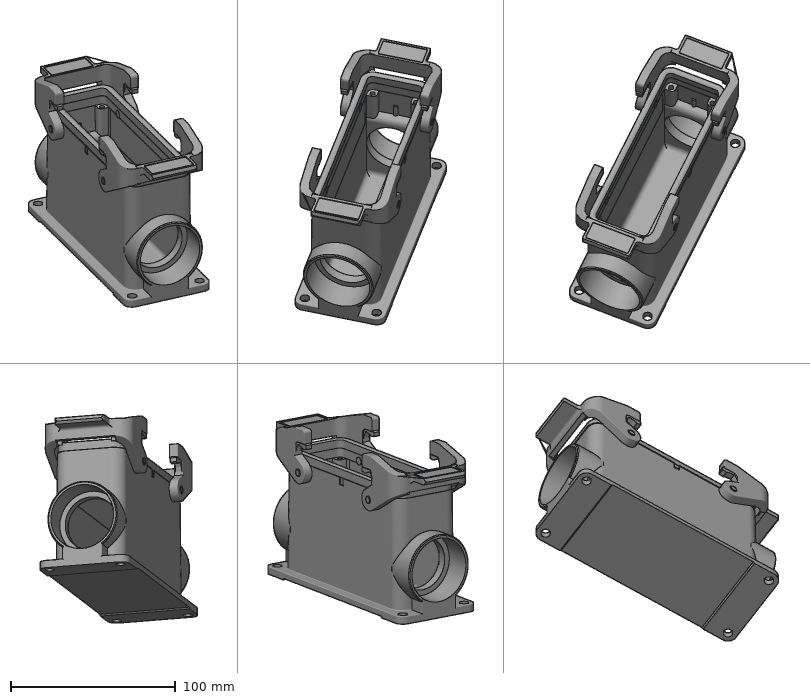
import cadquery as cq
import math

plate_length = 143.9
plate_width = 57.0
plate_thickness = 4.7
plate_corner_radius = 5.7
plate_edge_radius = 0.5
mount_hole_diameter = 5.7
mount_hole_x = 66.1
mount_hole_y = 22.7
relief_height = 1.0
relief_top_length = 102.0
relief_bottom_length = 103.9

foot_length = 122.5
foot_width = 44.4
shoulder_length = 120.5
shoulder_width = 43.6
shell_corner_radius = 7.9
foot_radius = 0.5
shoulder_z = 75.2

rim_top_z = 81.0
rim_inset = 0.5
rim_thickness = 4.1
rim_crown_height = 0.6
rim_length = shoulder_length - 2 * rim_inset
rim_width = shoulder_width - 2 * rim_inset
rim_corner_radius = shell_corner_radius - rim_inset

mouth_length = rim_length - 2 * rim_thickness
mouth_width = rim_width - 2 * rim_thickness
mouth_corner_radius = rim_corner_radius - rim_thickness
cavity_step = 0.2
straight_bottom_z = 69.5
floor_z = 4.7
floor_length = 110.2
floor_width = 32.7
floor_radius = 3.0
wall_recess_length = 93.2
wall_recess_bottom_z = 48.5

pad_foot_x = 48.3
pad_face_x = 48.8
pad_top_z = 52.3
pad_top_radius = 3.8
post_inner_x = 49.6
post_inner_y = 10.7
post_corner_radius = 2.4
post_hole_diameter = 3.0
post_hole_x = 52.1
post_hole_y = 13.7
post_hole_depth = 9.5
drill_point_angle = math.radians(118)
rib_diameter = 3.0
rib_top_z = 59.8

entry_z = 30.2
entry_outer_diameter = 44.2
entry_bore_diameter = 40.0
entry_throat_diameter = 33.0
entry_root_x = 53.5
entry_bore_end_x = 54.5
entry_edge_chamfer = 0.6
web_width = 25.2
web_corner_radius = 0.5

notch_width = 3.6
notch_bottom_z = 70.7
notch_depth = 0.6

pivot_x = -37.0
pivot_z = 71.0
lever_width = 55.9
arm_thickness = 5.5
end_thickness = 3.3
end_bottom_z = 80.9
lever_end_x = -66.3
lever_corner_radius = 9.1
lever_inner_radius = 6.8
arm_angle = math.radians(31)
arm_eye_radius = 7.0
lever_top_z = 98.8
lever_slope_start_x = -64.8
lever_slope_end_x = -39.8
hook_tip_x = -30.4
hook_under_z = 90.0
slot_back_x = -40.5
slot_corner_radius = 2.8
hook_corner_radius = 2.0
lever_top_radius = 3.1
lever_edge_radius = 0.3

lining_inset = 0.8
lining_root = 0.5
lining_foot_z = 83.5
lip_tip_x = -29.6
lip_upper_z = 89.5
lip_lower_z = 87.0
lip_lowest_point = (-32.5, 86.5)
lip_back_point = (-34.8, 87.7)
lining_crown_point = (-38.1, 88.3)
lining_corner_point = (-39.7, 86.0)

tab_tip_x = -78.7
tab_top_z = 91.6
tab_bottom_z = 87.7
tab_nose_z = 89.4
tab_bevel = 1.0
tab_width = 31.2
tab_root_radius = 1.7
tab_corner_radius = 1.9
panel_outer_x = -76.3
panel_inner_x = -64.8
panel_width = 28.0
panel_depth = 0.5
panel_corner_radius = 0.8

pin_diameter = 4.7
pin_head_height = 0.5
pin_head_chamfer = 0.4
pivot_boss_diameter = 7.0

pin_inner_y = mouth_width / 2 - cavity_step
arm_inner_y = lever_width / 2 - arm_thickness


def rounded_block(length, width, radius, bottom_z, top_z):
    """Upright block with rounded vertical edges."""
    block = cq.Workplane("XY", origin=(0, 0, bottom_z)).rect(length, width).extrude(top_z - bottom_z)
    return block.edges("|Z").fillet(radius)


def drafted_prism(plane, bottom_size, top_size, bottom_z, top_z, depth):
    """Trapezoid on an upright plane, extruded by the depth to both sides."""
    return (
        cq.Workplane(plane)
        .polyline([
            (-bottom_size / 2, bottom_z),
            (bottom_size / 2, bottom_z),
            (top_size / 2, top_z),
            (-top_size / 2, top_z),
        ])
        .close()
        .extrude(depth, both=True)
    )


def drafted_block(bottom, top, radius, bottom_z, top_z):
    """Upright block with rounded corners that tapers from bottom to top (length, width)."""
    lengthwise = drafted_prism("XZ", bottom[0], top[0], bottom_z, top_z, max(bottom[1], top[1]))
    crosswise = drafted_prism("YZ", bottom[1], top[1], bottom_z, top_z, max(bottom[0], top[0]))
    block = lengthwise.intersect(crosswise)
    return block.edges("not(#Z)").fillet(radius)


def box_between(x_range, y_range, z_range):
    """Box given by its two limits along each axis."""
    sizes = [high - low for low, high in (x_range, y_range, z_range)]
    corner = (x_range[0], y_range[0], z_range[0])
    return cq.Workplane("XY").box(*sizes, centered=False).translate(corner)


def cylinder_x(diameter, start_x, end_x):
    """Cylinder on a cable entry axis."""
    plane = cq.Workplane("YZ", origin=(start_x, 0, entry_z))
    return plane.circle(diameter / 2).extrude(end_x - start_x)


def cylinder_y(diameter, x, start_y, end_y):
    """Cylinder on a pivot axis, at the pivot height."""
    plane = cq.Workplane("XZ", origin=(x, start_y, pivot_z))
    return plane.circle(diameter / 2).extrude(start_y - end_y)


def base_plate():
    plate = rounded_block(plate_length, plate_width, plate_corner_radius, 0, plate_thickness)
    plate = plate.faces(">Z").edges().fillet(plate_edge_radius)
    relief = (
        cq.Workplane("XZ")
        .polyline([
            (-relief_bottom_length / 2, 0),
            (-relief_top_length / 2, relief_height),
            (relief_top_length / 2, relief_height),
            (relief_bottom_length / 2, 0),
        ])
        .close()
        .extrude(plate_width, both=True)
    )
    return plate.cut(relief)


def rim():
    """Band around the mouth of the housing, its top a shallow arch."""
    centre_length = rim_length - rim_thickness
    centre_width = rim_width - rim_thickness
    bend = rim_corner_radius - rim_thickness / 2
    edge_z = rim_top_z - rim_crown_height
    path = rounded_block(centre_length, centre_width, bend, shoulder_z - 1.5, shoulder_z).faces(">Z").wires()
    section = (
        cq.Workplane("YZ", origin=(0, -centre_width / 2, 0))
        .moveTo(-rim_thickness / 2, shoulder_z)
        .lineTo(-rim_thickness / 2, edge_z)
        .threePointArc((0, rim_top_z), (rim_thickness / 2, edge_z))
        .lineTo(rim_thickness / 2, shoulder_z)
        .close()
    )
    return section.sweep(path)


def cable_entry(side):
    """Tube and the web that carries it, on the plate's end."""
    tube = cylinder_x(entry_outer_diameter, side * plate_length / 2, side * entry_root_x)
    end_face = "<X" if side < 0 else ">X"
    tube = tube.faces(end_face).edges().chamfer(entry_edge_chamfer)
    web_range = sorted((side * entry_root_x, side * plate_length / 2))
    web = box_between(web_range, (-web_width / 2, web_width / 2), (relief_height, entry_z))
    web = web.faces(end_face).edges("|Z").fillet(web_corner_radius)
    return tube.union(web)


def end_pad(side):
    """Thick lower part of an end wall, with a rounded top edge."""
    pad = (
        cq.Workplane("XZ")
        .polyline([
            (side * shoulder_length / 2, floor_z),
            (side * pad_foot_x, floor_z),
            (side * pad_face_x, pad_top_z),
            (side * shoulder_length / 2, pad_top_z),
        ])
        .close()
        .extrude(mouth_width, both=True)
    )
    inner_edge = cq.selectors.NearestToPointSelector((side * pad_face_x, 0, pad_top_z))
    return pad.edges("|Y").edges(inner_edge).fillet(pad_top_radius)


def screw_post(side_x, side_y):
    x_range = sorted((side_x * post_inner_x, side_x * shoulder_length / 2))
    y_range = sorted((side_y * post_inner_y, side_y * shoulder_width / 2))
    post = box_between(x_range, y_range, (floor_z, straight_bottom_z))
    inner_edge = cq.selectors.NearestToPointSelector(
        (side_x * post_inner_x, side_y * post_inner_y, straight_bottom_z / 2)
    )
    post = post.edges("|Z").edges(inner_edge).fillet(post_corner_radius)
    hole_radius = post_hole_diameter / 2
    tip_length = hole_radius / math.tan(drill_point_angle / 2)
    hole = (
        cq.Workplane("XZ")
        .polyline([
            (0, 0),
            (hole_radius, 0),
            (hole_radius, -post_hole_depth),
            (0, -post_hole_depth - tip_length),
        ])
        .close()
        .revolve(360, (0, 0, 0), (0, 1, 0))
        .translate((side_x * post_hole_x, side_y * post_hole_y, straight_bottom_z))
    )
    return post.cut(hole)


def end_rib(side):
    """Half-round rib standing on an end pad against the end wall."""
    rib = cq.Workplane("XY", origin=(side * mouth_length / 2, 0, floor_z))
    return rib.circle(rib_diameter / 2).extrude(rib_top_z - floor_z)


def cavity():
    """Hollow that widens by a small step at the post tops and again at the rim."""
    straight_size = (mouth_length - 2 * cavity_step, mouth_width - 2 * cavity_step)
    lower_size = (straight_size[0] - 2 * cavity_step, straight_size[1] - 2 * cavity_step)
    hollow = drafted_block(
        (floor_length, floor_width), lower_size, mouth_corner_radius, floor_z, straight_bottom_z
    )
    for side in (-1, 1):
        hollow = hollow.cut(end_pad(side))
    hollow = hollow.faces("<Z").edges().fillet(floor_radius)
    wall_recess = box_between(
        (-wall_recess_length / 2, wall_recess_length / 2),
        (-lower_size[1] / 2, lower_size[1] / 2),
        (wall_recess_bottom_z, straight_bottom_z),
    )
    hollow = hollow.union(wall_recess)
    hollow = hollow.union(rounded_block(*straight_size, mouth_corner_radius, straight_bottom_z, shoulder_z))
    hollow = hollow.union(rounded_block(mouth_length, mouth_width, mouth_corner_radius, shoulder_z, rim_top_z))
    for side_x in (-1, 1):
        hollow = hollow.cut(end_rib(side_x))
        for side_y in (-1, 1):
            hollow = hollow.cut(screw_post(side_x, side_y))
    return hollow


def index_notches():
    """Shallow slots under the shoulder, in the middle of both long walls."""
    notches = cq.Workplane("XY")
    for side in (-1, 1):
        y_range = sorted((side * (shoulder_width / 2 - notch_depth), side * foot_width / 2))
        notches = notches.add(
            box_between((-notch_width / 2, notch_width / 2), y_range, (notch_bottom_z, shoulder_z))
        )
    return notches.combine()


def make_housing():
    shell = drafted_block(
        (foot_length, foot_width), (shoulder_length, shoulder_width),
        shell_corner_radius, plate_thickness, shoulder_z,
    )
    body = base_plate().union(shell)
    foot_edges = cq.selectors.BoxSelector(
        (-foot_length, -foot_width / 2 - foot_radius, plate_thickness - foot_radius),
        (foot_length, foot_width / 2 + foot_radius, plate_thickness + foot_radius),
    )
    body = body.edges(foot_edges).fillet(foot_radius)
    body = body.union(rim())
    for side in (-1, 1):
        body = body.union(cable_entry(side))
    body = body.cut(cavity()).cut(index_notches())
    for side in (-1, 1):
        body = body.cut(cylinder_x(entry_bore_diameter, side * plate_length / 2, side * entry_bore_end_x))
    body = body.cut(cylinder_x(entry_throat_diameter, -plate_length / 2, plate_length / 2))
    for x in (-pivot_x, pivot_x):
        for side in (-1, 1):
            wall_middle_y = side * (pin_inner_y + arm_inner_y) / 2
            body = body.union(cylinder_y(pivot_boss_diameter, x, wall_middle_y, side * arm_inner_y))
        body = body.cut(cylinder_y(pin_diameter, x, -arm_inner_y, arm_inner_y))
    mount_holes = (
        cq.Workplane("XY")
        .rect(2 * mount_hole_x, 2 * mount_hole_y, forConstruction=True)
        .vertices()
        .circle(mount_hole_diameter / 2)
        .extrude(plate_thickness)
    )
    return body.cut(mount_holes)


def lever_side_profile():
    """Side outline of the arms, extruded over the full lever width."""
    across = (arm_eye_radius * math.sin(arm_angle), arm_eye_radius * math.cos(arm_angle))
    upper_tangent = (pivot_x + across[0], pivot_z + across[1])
    lower_tangent = (pivot_x - across[0], pivot_z - across[1])
    eye_far = (pivot_x + across[1], pivot_z - across[0])
    rise = math.tan(arm_angle)
    slot_bottom_z = upper_tangent[1] + (upper_tangent[0] - slot_back_x) * rise
    side = (
        cq.Workplane("XZ")
        .moveTo(lever_end_x, lower_tangent[1] + (lower_tangent[0] - lever_end_x) * rise)
        .lineTo(lever_end_x, tab_top_z)
        .lineTo(lever_slope_start_x, tab_top_z)
        .lineTo(lever_slope_end_x, lever_top_z)
        .lineTo(hook_tip_x, lever_top_z)
        .lineTo(hook_tip_x, hook_under_z)
        .lineTo(slot_back_x, hook_under_z)
        .lineTo(slot_back_x, slot_bottom_z)
        .lineTo(*upper_tangent)
        .threePointArc(eye_far, lower_tangent)
        .close()
        .extrude(lever_width / 2, both=True)
    )
    hook_corner = cq.selectors.NearestToPointSelector((hook_tip_x, 0, lever_top_z))
    slot_corner = cq.selectors.NearestToPointSelector((slot_back_x, 0, hook_under_z))
    slope_corner = cq.selectors.NearestToPointSelector((lever_slope_end_x, 0, lever_top_z))
    side = side.edges("|Y").edges(slope_corner).fillet(lever_top_radius)
    side = side.edges("|Y").edges(hook_corner).fillet(hook_corner_radius)
    return side.edges("|Y").edges(slot_corner).fillet(slot_corner_radius)


def lever_plan():
    """U-shaped band seen in plan, taller than the lever."""
    tall = 2 * lever_top_z
    outside = box_between((lever_end_x, 0), (-lever_width / 2, lever_width / 2), (0, tall))
    outside = outside.edges("|Z and <X").fillet(lever_corner_radius)
    inside = box_between((lever_end_x + end_thickness, 0), (-arm_inner_y, arm_inner_y), (0, tall))
    inside = inside.edges("|Z and <X").fillet(lever_inner_radius)
    return outside.cut(inside)


def end_trims():
    """Blocks that leave the straight end wall with a level top and bottom."""
    x_range = (lever_end_x, lever_end_x + end_thickness)
    half_length = lever_width / 2 - lever_corner_radius
    y_range = (-half_length, half_length)
    above = box_between(x_range, y_range, (tab_top_z, lever_top_z))
    below = box_between(x_range, y_range, (pivot_z, end_bottom_z))
    return above.union(below)


def hook_lining(side):
    """Thin lining of the hook slot that ends in a lip below the hook tip."""
    return (
        cq.Workplane("XZ", origin=(0, side * (lever_width - arm_thickness) / 2, 0))
        .moveTo(hook_tip_x, hook_under_z + lining_root)
        .lineTo(lip_tip_x, lip_upper_z)
        .lineTo(lip_tip_x, lip_lower_z)
        .lineTo(*lip_lowest_point)
        .lineTo(*lip_back_point)
        .lineTo(*lining_crown_point)
        .lineTo(*lining_corner_point)
        .lineTo(slot_back_x, lining_foot_z)
        .lineTo(slot_back_x - lining_root, hook_under_z + lining_root)
        .close()
        .extrude(arm_thickness / 2 - lining_inset, both=True)
    )


def grip_tab():
    """Finger tab with a bevelled nose, flaring sideways and down where it meets the lever's end."""
    root_x = lever_end_x + end_thickness / 2
    half_width = tab_width / 2
    root_half_width = half_width + tab_root_radius
    flare_x = lever_end_x - tab_root_radius
    plan = (
        cq.Workplane("XY")
        .moveTo(tab_tip_x, -half_width)
        .lineTo(flare_x, -half_width)
        .radiusArc((lever_end_x, -root_half_width), tab_root_radius)
        .lineTo(root_x, -root_half_width)
        .lineTo(root_x, root_half_width)
        .lineTo(lever_end_x, root_half_width)
        .radiusArc((flare_x, half_width), tab_root_radius)
        .lineTo(tab_tip_x, half_width)
        .close()
        .extrude(lever_top_z)
        .edges("|Z and <X")
        .fillet(tab_corner_radius)
    )
    side = (
        cq.Workplane("XZ")
        .moveTo(root_x, tab_bottom_z - tab_root_radius)
        .lineTo(lever_end_x, tab_bottom_z - tab_root_radius)
        .radiusArc((flare_x, tab_bottom_z), -tab_root_radius)
        .lineTo(tab_tip_x + tab_bevel, tab_bottom_z)
        .lineTo(tab_tip_x, tab_nose_z)
        .lineTo(tab_tip_x + tab_bevel, tab_top_z)
        .lineTo(root_x, tab_top_z)
        .close()
        .extrude(tab_width, both=True)
    )
    return plan.intersect(side)


def panel_recess():
    panel = box_between(
        (panel_outer_x, panel_inner_x),
        (-panel_width / 2, panel_width / 2),
        (tab_top_z - panel_depth, lever_top_z),
    )
    return panel.edges("|Z").fillet(panel_corner_radius)


def lever_pin(side):
    """Pivot pin reaching from the cavity wall to a low chamfered head outside the arm."""
    head_y = side * (lever_width / 2 + pin_head_height)
    pin = cylinder_y(pin_diameter, pivot_x, side * pin_inner_y, head_y)
    return pin.faces("<Y" if side < 0 else ">Y").edges().chamfer(pin_head_chamfer)


def make_lever(angle):
    """Locking lever at the -X end, turned by the angle about the housing's upright axis."""
    lever = lever_side_profile().intersect(lever_plan())
    lever = lever.faces("<Y or >Y").edges().fillet(lever_edge_radius)
    lever = lever.cut(end_trims())
    lever = lever.union(grip_tab())
    lever = lever.cut(panel_recess())
    for side in (-1, 1):
        lever = lever.union(hook_lining(side)).union(lever_pin(side))
    return lever.rotate((0, 0, 0), (0, 0, 1), angle)


housing = make_housing()
levers = [make_lever(angle) for angle in (0, 180)]
result = cq.Compound.makeCompound([housing.val(), *[lever.val() for lever in levers]])